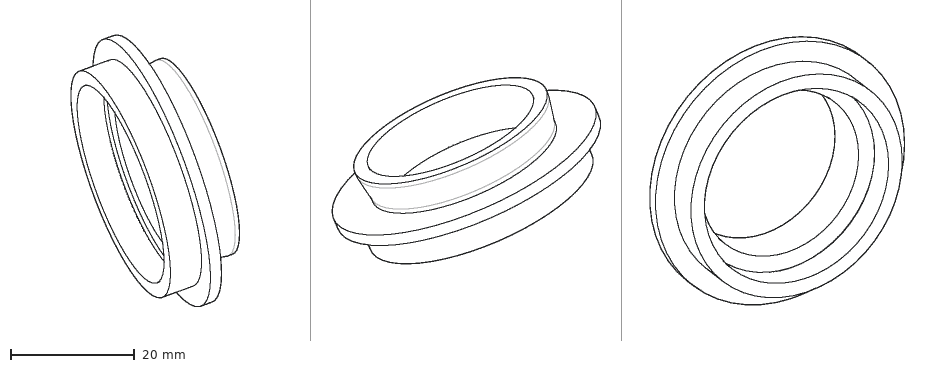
import cadquery as cq

flange_diameter = 46.0
collar_diameter = 39.0
recess_diameter = 34.0
bore_diameter = 29.0
undercut_diameter = 35.0
lip_diameter = 33.75
neck_diameter = 32.2

collar_length = 5.5
flange_thickness = 2.0
neck_length = 0.8
lip_length = 0.8
rear_length = 6.0
recess_depth = 5.5
undercut_width = 0.8

total_length = collar_length + flange_thickness + rear_length
flange_front = collar_length
flange_back = flange_front + flange_thickness
taper_start = flange_back + neck_length
taper_end = total_length - lip_length
undercut_start = recess_depth - undercut_width

half_section = [
    (recess_diameter / 2, 0),
    (collar_diameter / 2, 0),
    (collar_diameter / 2, flange_front),
    (flange_diameter / 2, flange_front),
    (flange_diameter / 2, flange_back),
    (neck_diameter / 2, flange_back),
    (neck_diameter / 2, taper_start),
    (lip_diameter / 2, taper_end),
    (lip_diameter / 2, total_length),
    (bore_diameter / 2, total_length),
    (bore_diameter / 2, recess_depth),
    (undercut_diameter / 2, recess_depth),
    (undercut_diameter / 2, undercut_start),
    (recess_diameter / 2, undercut_start),
]

ring = cq.Workplane("XY").polyline(half_section).close().revolve(360, (0, 0, 0), (0, 1, 0))

result = ring.translate((0, -total_length / 2, 0))